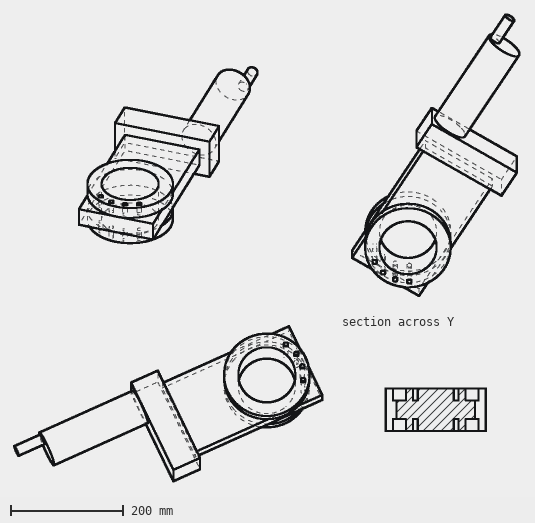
import cadquery as cq

overall_length = 533.5
overall_height = 76.0
flange_diameter = 152.0
bore_diameter = 101.5
plate_width = 140.0
plate_thickness = 33.5
block_width = 177.5
block_length = 52.5
cylinder_diameter = 64.0
cylinder_length = 183.0
cylinder_offset = 50.5
rod_diameter = 19.0
rod_length = 50.0
rod_offset = 70.0
bolt_circle_diameter = 130.0
bolt_hole_diameter = 8.0
bolt_spacing_angle = 22.5
bolt_count = 4

plate_start = -flange_diameter / 2
rod_end = plate_start + overall_length
cylinder_end = rod_end - rod_length
block_end = cylinder_end - cylinder_length
plate_end = block_end - block_length

flange_thickness = (overall_height - plate_thickness) / 2


def box_along_y(width, start, end, height):
    """Box centred on X and Z, spanning start to end in Y."""
    return cq.Workplane("XY").box(width, end - start, height).translate((0, (start + end) / 2, 0))


def cylinder_along_y(diameter, x, start, end):
    """Round bar parallel to Y, centred on Z = 0."""
    return (
        cq.Workplane("XZ", origin=(x, start, 0))
        .circle(diameter / 2)
        .extrude(start - end)
    )


def flange_bolt_holes(bottom):
    """Arc of bolt holes through one flange, centred on the -Y direction."""
    arc_start = -90 - bolt_spacing_angle * (bolt_count - 1) / 2
    return (
        cq.Workplane("XY", origin=(0, 0, bottom))
        .polarArray(bolt_circle_diameter / 2, arc_start, bolt_spacing_angle, bolt_count, fill=False)
        .circle(bolt_hole_diameter / 2)
        .extrude(flange_thickness)
    )


plate = box_along_y(plate_width, plate_start, plate_end, plate_thickness)
block = box_along_y(block_width, plate_end, block_end, overall_height)
cylinder = cylinder_along_y(cylinder_diameter, cylinder_offset, block_end, cylinder_end)
rod = cylinder_along_y(rod_diameter, rod_offset, cylinder_end, rod_end)

flange_bottom = cq.Workplane("XY", origin=(0, 0, -overall_height / 2))
lower_flange = flange_bottom.circle(flange_diameter / 2).extrude(flange_thickness)
upper_flange = lower_flange.mirror("XY")
bore = flange_bottom.circle(bore_diameter / 2).extrude(overall_height)

result = plate.union(block).union(cylinder).union(rod).union(lower_flange).union(upper_flange).cut(bore)

for hole_bottom in (-overall_height / 2, plate_thickness / 2):
    result = result.cut(flange_bolt_holes(hole_bottom))